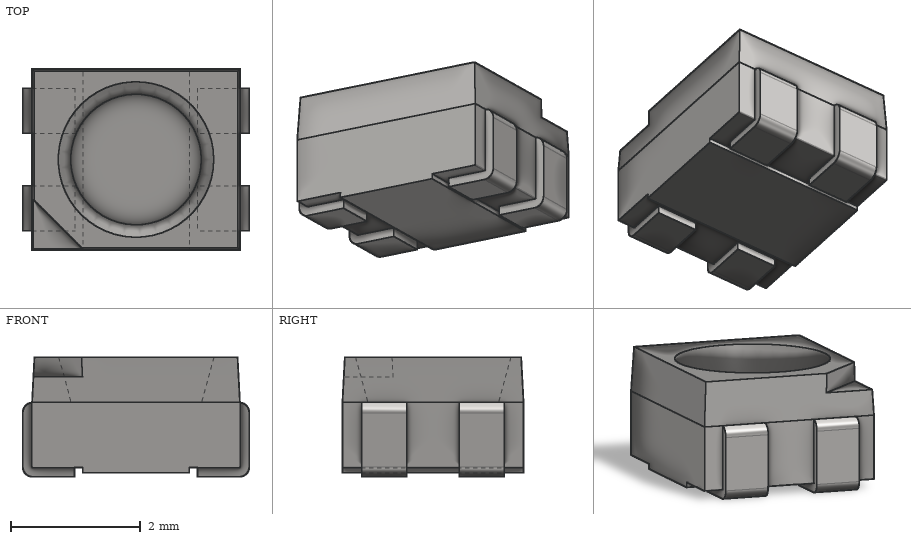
import cadquery as cq

length = 3.5
width = 2.8
height = 1.85

lead_thickness = 0.145
lead_width = 0.7
lead_pitch = 1.505
foot_length = 0.8
inner_bend_radius = 0.015

frame_height = 0.7
draft_angle = 3.0
pedestal_length = 1.652
pedestal_clearance = 0.063

cavity_top_diameter = 2.4
cavity_floor_diameter = 2.015
mark_leg = 0.8
mark_depth = 0.3

body_length = length - 2 * lead_thickness
parting_z = height - frame_height
base_bottom_z = lead_thickness
outer_bend_radius = inner_bend_radius + lead_thickness


def make_base_block():
    """Lower housing block with rounded bottom edges, without its pedestal."""
    return (
        cq.Workplane("XY", origin=(0, 0, base_bottom_z))
        .box(body_length, width, parting_z - base_bottom_z, centered=(True, True, False))
        .edges("|Y and <Z")
        .fillet(inner_bend_radius)
    )


def make_base():
    """Lower housing with a shallow pedestal that stands clear of the mounting plane."""
    pedestal = cq.Workplane("XY", origin=(0, 0, pedestal_clearance)).box(
        pedestal_length, width, base_bottom_z - pedestal_clearance, centered=(True, True, False)
    )
    return make_base_block().union(pedestal)


def make_cavity():
    """Conical reflector opening through the full height of the frame."""
    return (
        cq.Workplane("XY", origin=(0, 0, parting_z))
        .circle(cavity_floor_diameter / 2)
        .workplane(offset=frame_height)
        .circle(cavity_top_diameter / 2)
        .loft(ruled=True)
    )


def make_polarity_mark():
    """Triangular prism that steps down the -X, -Y corner of the frame."""
    corner_x = -body_length / 2
    corner_y = -width / 2
    return (
        cq.Workplane("XY", origin=(0, 0, height - mark_depth))
        .moveTo(corner_x, corner_y)
        .lineTo(corner_x + mark_leg, corner_y)
        .lineTo(corner_x, corner_y + mark_leg)
        .close()
        .extrude(mark_depth)
    )


def make_frame():
    """Upper housing with drafted sides, the reflector opening and the corner mark."""
    frame = (
        cq.Workplane("XY", origin=(0, 0, parting_z))
        .rect(body_length, width)
        .extrude(frame_height, taper=draft_angle)
    )
    return frame.cut(make_cavity()).cut(make_polarity_mark())


def make_lead(side, center_y):
    """Bent lead on one X side: vertical leg on the base wall, foot under the base."""
    outer_x = length / 2
    foot_end_x = outer_x - foot_length
    lead = (
        cq.Workplane("XZ", origin=(0, center_y + lead_width / 2, 0))
        .moveTo(side * foot_end_x, 0)
        .lineTo(side * outer_x, 0)
        .lineTo(side * outer_x, parting_z)
        .lineTo(side * foot_end_x, parting_z)
        .close()
        .extrude(lead_width)
    )
    outer_side = ">X" if side > 0 else "<X"
    lead = lead.faces(outer_side).edges("|Y").fillet(outer_bend_radius)
    return lead.cut(make_base_block())


base = make_base()
frame = make_frame()
leads = [
    make_lead(side, row * lead_pitch / 2)
    for side in (-1, 1)
    for row in (-1, 1)
]

result = cq.Compound.makeCompound([
    base.solids().val(),
    frame.solids().val(),
    *[lead.solids().val() for lead in leads],
])